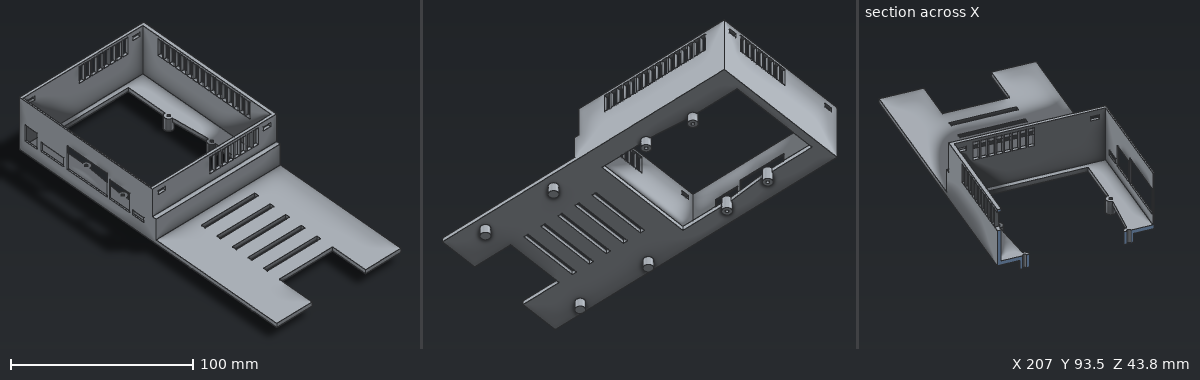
import cadquery as cq

total_length = 207.0
width = 93.5
box_length = 107.0
box_height = 37.77
floor_thickness = 3.0

end_wall = 2.0
front_wall = 1.0
back_wall = 2.5

ledge_depth = 3.0
ledge_height = 18.0

opening_start = 5.0
opening_end = box_length - opening_start
post_x_left = 37.5
post_x_right = 69.6
post_y_left = (15.2, 77.2)
post_y_right = (12.7, 79.7)
post_diameter = 6.0
post_hole_diameter = 2.0

foot_length = 6.0
plate_foot_x = (132.0, 182.0)
plate_foot_inset = 7.5

plate_slot_count = 5
plate_slot_width = 3.0
plate_slot_length = 40.0
plate_slot_pitch = 12.5
first_plate_slot_x = 119.3
notch_start = 180.5

back_vent_count = 16
back_vent_row_length = 75.0
back_vent_start = 14.0
end_vent_count = 8
end_vent_start = 43.25
vent_bar = 1.0
vent_pitch = back_vent_row_length / back_vent_count
vent_width = vent_pitch - vent_bar
vent_height = 12.0
vent_top_margin = 2.0

latch_width = 5.4
latch_height = 2.7
latch_top_margin = 3.75
latch_inset = 4.5

connector_sill = 9.5
connector_windows = (
    (4.5, 14.2, 9.0, 20.5),
    (17.3, 35.3, connector_sill, 16.0),
    (38.4, 70.5, connector_sill, 26.4),
    (72.3, 88.5, connector_sill, 23.2),
    (90.9, 100.0, connector_sill, 12.8),
)


def block(x_range, y_range, z_range):
    """Axis-aligned box between the given start and end values."""
    lows, highs = zip(x_range, y_range, z_range)
    sizes = [high - low for low, high in zip(lows, highs)]
    return cq.Workplane("XY").box(*sizes, centered=False).translate(lows)


def cylinder(x, y, diameter, z_bottom, z_top):
    """Vertical cylinder centred on (x, y)."""
    plane = cq.Workplane("XY", origin=(x, y, z_bottom))
    return plane.circle(diameter / 2).extrude(z_top - z_bottom)


def make_body():
    """Base plate, box walls and ledge, with the box hollowed down to the floor."""
    plate = block((0, total_length), (0, width), (0, floor_thickness))
    box = block((0, box_length), (0, width), (0, box_height))
    ledge = block((box_length, box_length + ledge_depth), (0, width), (0, ledge_height))
    cavity = block(
        (end_wall, box_length - end_wall),
        (front_wall, width - back_wall),
        (floor_thickness, box_height),
    )
    return plate.union(box).union(ledge).cut(cavity)


def make_floor_opening():
    """Opening whose long edges slope outward between the facing sides of the two post pairs."""
    low_left, high_left = post_y_left
    low_right, high_right = post_y_right
    slope_start = post_x_left + post_diameter / 2
    slope_end = post_x_right - post_diameter / 2
    outline = [
        (opening_start, low_left),
        (slope_start, low_left),
        (slope_end, low_right),
        (opening_end, low_right),
        (opening_end, high_right),
        (slope_end, high_right),
        (slope_start, high_left),
        (opening_start, high_left),
    ]
    return cq.Workplane("XY").polyline(outline).close().extrude(floor_thickness)


def add_posts(body):
    """Posts run from foot level to the floor surface and have a screw hole through them."""
    centers = [(post_x_left, y) for y in post_y_left]
    centers += [(post_x_right, y) for y in post_y_right]
    for x, y in centers:
        body = body.union(cylinder(x, y, post_diameter, -foot_length, floor_thickness))
        body = body.cut(cylinder(x, y, post_hole_diameter, -foot_length, floor_thickness))
    return body


def add_plate_feet(body):
    for x in plate_foot_x:
        for y in (plate_foot_inset, width - plate_foot_inset):
            body = body.union(cylinder(x, y, post_diameter, -foot_length, floor_thickness))
    return body


def cut_plate(body):
    """Row of slots in the plate, ending in a notch as wide as the slots are long."""
    y_range = ((width - plate_slot_length) / 2, (width + plate_slot_length) / 2)
    z_range = (0, floor_thickness)
    for index in range(plate_slot_count):
        center = first_plate_slot_x + index * plate_slot_pitch
        x_range = (center - plate_slot_width / 2, center + plate_slot_width / 2)
        body = body.cut(block(x_range, y_range, z_range))
    return body.cut(block((notch_start, total_length), y_range, z_range))


def cut_vents(body):
    """Back wall vents, and end wall vents that pass through both end walls."""
    z_top = box_height - vent_top_margin
    z_range = (z_top - vent_height, z_top)
    for index in range(back_vent_count):
        start = back_vent_start + index * vent_pitch
        body = body.cut(block((start, start + vent_width), (width - back_wall, width), z_range))
    for index in range(end_vent_count):
        start = end_vent_start + index * vent_pitch
        body = body.cut(block((0, box_length), (start, start + vent_width), z_range))
    return body


def cut_latch_windows(body):
    """One window near each corner, through both end walls."""
    z_top = box_height - latch_top_margin
    for start in (latch_inset, width - latch_inset - latch_width):
        y_range = (start, start + latch_width)
        body = body.cut(block((0, box_length), y_range, (z_top - latch_height, z_top)))
    return body


def cut_connector_windows(body):
    for x_start, x_end, z_bottom, z_top in connector_windows:
        body = body.cut(block((x_start, x_end), (0, front_wall), (z_bottom, z_top)))
    return body


body = make_body().cut(make_floor_opening())
body = add_posts(body)
body = add_plate_feet(body)
body = cut_plate(body)
body = cut_vents(body)
body = cut_latch_windows(body)
result = cut_connector_windows(body)